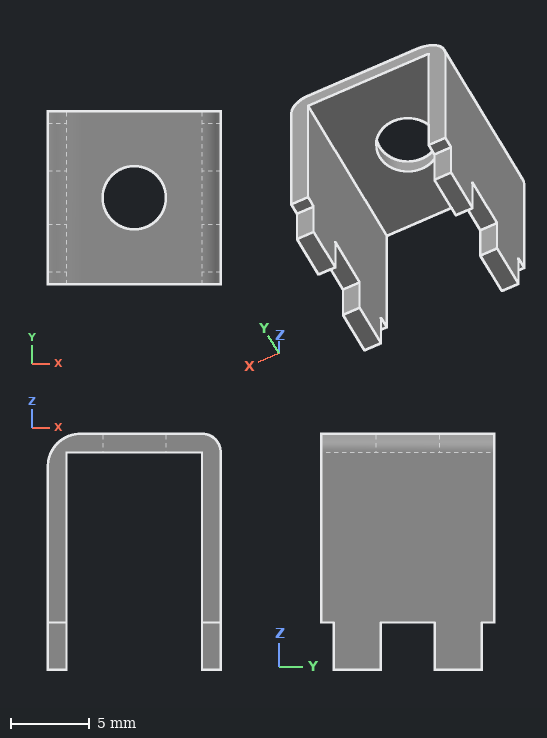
import cadquery as cq

width = 11.0
depth = 11.0
height = 15.0

wall = 1.2
left_bend_radius = 2.1
right_bend_radius = 1.2
hole_diameter = 4.0

pin_length = 3.0
pin_width = 3.0
pin_edge_inset = 0.8

body_height = height - pin_length
pin_offset = depth / 2 - pin_edge_inset - pin_width / 2
wall_offset = width / 2 - wall / 2


def make_channel():
    """Inverted U with rounded outer top edges and sharp inner corners."""
    body = cq.Workplane("XY").box(width, depth, body_height, centered=(True, True, False))
    body = body.translate((0, 0, pin_length))
    body = body.faces(">Z").edges("<X").fillet(left_bend_radius)
    body = body.faces(">Z").edges(">X").fillet(right_bend_radius)
    opening = cq.Workplane("XY").box(
        width - 2 * wall, depth, body_height - wall, centered=(True, True, False)
    )
    return body.cut(opening.translate((0, 0, pin_length)))


def make_pins():
    """Two pins under each side wall, flush with its faces."""
    centers = [(x, y) for x in (-wall_offset, wall_offset) for y in (-pin_offset, pin_offset)]
    return cq.Workplane("XY").pushPoints(centers).rect(wall, pin_width).extrude(pin_length)


def make_screw_hole():
    """Cutter for the round hole through the top plate."""
    return cq.Workplane("XY").circle(hole_diameter / 2).extrude(height)


result = make_channel().cut(make_screw_hole()).union(make_pins())